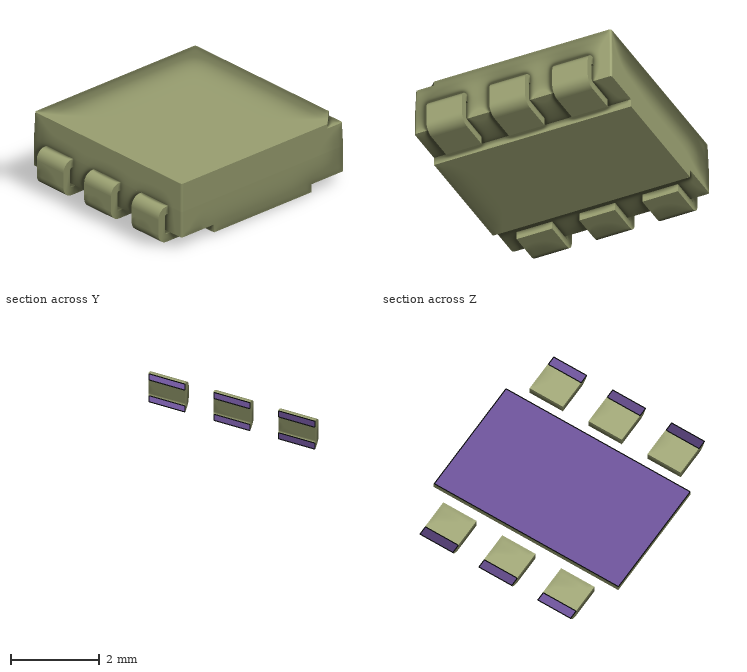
import cadquery as cq


body_size = 5.0
total_height = 1.6
split_z = 0.9
body_bottom_z = 0.25
corner_radius = 0.05
wall_draft_inset = 0.02
upper_height = total_height - split_z

pedestal_width = 3.0
pedestal_bottom_z = 0.05

notch_leg = 0.51
notch_depth = 0.11

lens_diameter = 4.0

lead_span = 5.6
lead_width = 0.9
lead_thickness = 0.2
lead_pitch = 1.595
lead_bend_radius = 0.25
lead_foot_length = 1.0
leads_per_side = 3


def make_lower_housing():
    """Straight-walled block with a pedestal below it."""
    block = (
        cq.Workplane("XY", origin=(0, 0, body_bottom_z))
        .rect(body_size, body_size)
        .extrude(split_z - body_bottom_z)
        .edges("|Z")
        .fillet(corner_radius)
    )
    pedestal = (
        cq.Workplane("XY", origin=(0, 0, pedestal_bottom_z))
        .rect(body_size, pedestal_width)
        .extrude(body_bottom_z - pedestal_bottom_z)
    )
    return block.union(pedestal)


def make_upper_housing():
    """Drafted frame with a round opening for the lens and a notched corner."""
    top_size = body_size - 2 * wall_draft_inset
    bottom_outline = cq.Sketch().rect(body_size, body_size).vertices().fillet(corner_radius)
    top_outline = cq.Sketch().rect(top_size, top_size).vertices().fillet(corner_radius)
    frame = (
        cq.Workplane("XY", origin=(0, 0, split_z))
        .placeSketch(bottom_outline, top_outline.moved(cq.Location(cq.Vector(0, 0, upper_height))))
        .loft()
    )
    corner = body_size / 2
    notch = (
        cq.Workplane("XY", origin=(0, 0, total_height - notch_depth))
        .polyline([(corner, corner), (corner - notch_leg, corner), (corner, corner - notch_leg)])
        .close()
        .extrude(notch_depth)
    )
    return frame.cut(make_lens()).cut(notch)


def make_lens():
    """Disc filling the opening of the upper housing, flush with its top."""
    return (
        cq.Workplane("XY", origin=(0, 0, split_z))
        .circle(lens_diameter / 2)
        .extrude(upper_height)
    )


def make_lead(x_centre, turn_angle):
    """C-shaped strip on the +Y wall at x_centre, then turned about Z by turn_angle."""
    wall_y = body_size / 2
    outer_y = lead_span / 2
    inner_y = outer_y - lead_thickness
    foot_y = outer_y - lead_foot_length
    inner_radius = lead_bend_radius - lead_thickness
    outer_bend_y = outer_y - lead_bend_radius
    upper_bend_z = split_z - lead_bend_radius
    lower_bend_z = lead_bend_radius
    strip = (
        cq.Workplane("YZ", origin=(x_centre - lead_width / 2, 0, 0))
        .moveTo(wall_y, split_z)
        .lineTo(outer_bend_y, split_z)
        .radiusArc((outer_y, upper_bend_z), lead_bend_radius)
        .lineTo(outer_y, lower_bend_z)
        .radiusArc((outer_bend_y, 0), lead_bend_radius)
        .lineTo(foot_y, 0)
        .lineTo(foot_y, lead_thickness)
        .lineTo(outer_bend_y, lead_thickness)
        .radiusArc((inner_y, lower_bend_z), -inner_radius)
        .lineTo(inner_y, upper_bend_z)
        .radiusArc((outer_bend_y, split_z - lead_thickness), -inner_radius)
        .lineTo(wall_y, split_z - lead_thickness)
        .close()
        .extrude(lead_width)
    )
    return strip.rotate((0, 0, 0), (0, 0, 1), turn_angle)


lower_housing = make_lower_housing()
upper_housing = make_upper_housing()
lens = make_lens()

leads = []
for side_angle in (0, 180):
    for index in range(leads_per_side):
        lead_x = (index - (leads_per_side - 1) / 2) * lead_pitch
        leads.append(make_lead(lead_x, side_angle).val())

result = cq.Compound.makeCompound([lower_housing.val(), upper_housing.val(), lens.val(), *leads])